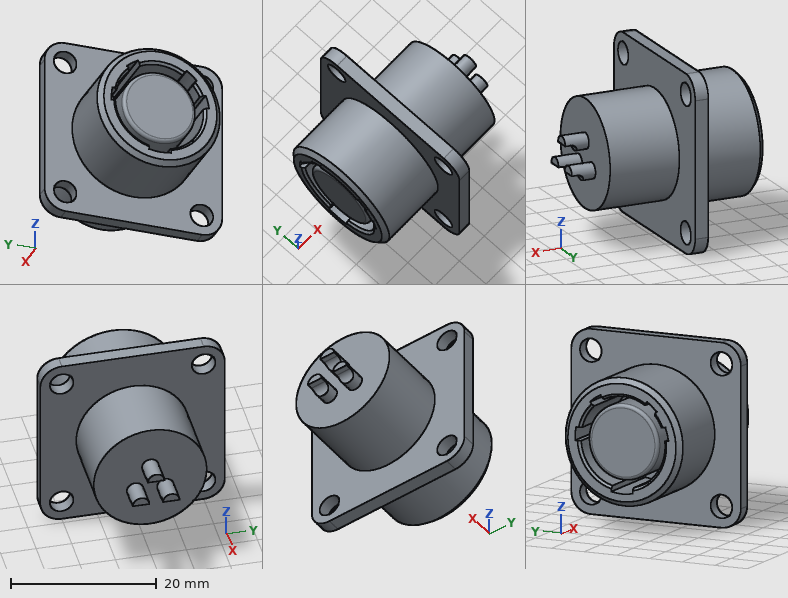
import cadquery as cq

total_length = 26.6
flange_front_x = 10.5
flange_thickness = 2.0
rear_end_x = 23.0

shell_radius = 9.0
shell_chamfer = 0.72
rear_radius = 7.95

flange_side = 26.0
flange_corner_radius = 3.0
mounting_hole_pitch = 20.0
mounting_hole_diameter = 3.3

socket_radius = 6.45
socket_entry_chamfer = 0.37
socket_depth = flange_front_x
core_radius = 5.35
core_edge_fillet = 0.5
core_recess = 0.35

keyway_outer_radius = 7.18
main_key_angle = 270
main_key_width = 3.25
minor_key_angles = (5, 55, 130, 165)
minor_key_width = 1.92

pin_radius = 1.17
pin_half_spacing = 2.13
pin_row_height = 1.84
pin_centres = (
    (0, pin_row_height),
    (-pin_half_spacing, -pin_row_height),
    (pin_half_spacing, -pin_row_height),
)
pin_full_length = 1.65
pin_scoop_start_x = rear_end_x + pin_full_length


def cylinder(radius, start_x, end_x, centre=(0, 0)):
    """Cylinder along X, centred on a (Y, Z) point."""
    plane = cq.Workplane("YZ", origin=(start_x, 0, 0))
    return plane.center(*centre).circle(radius).extrude(end_x - start_x)


def make_shell():
    front = cylinder(shell_radius, 0, flange_front_x).faces("<X").chamfer(shell_chamfer)
    rear = cylinder(rear_radius, flange_front_x, rear_end_x)
    return front.union(rear)


def make_flange():
    return (
        cq.Workplane("YZ", origin=(flange_front_x, 0, 0))
        .rect(flange_side, flange_side)
        .extrude(flange_thickness)
        .edges("|X")
        .fillet(flange_corner_radius)
    )


def make_mounting_holes():
    return (
        cq.Workplane("YZ", origin=(flange_front_x, 0, 0))
        .rect(mounting_hole_pitch, mounting_hole_pitch, forConstruction=True)
        .vertices()
        .circle(mounting_hole_diameter / 2)
        .extrude(flange_thickness)
    )


def make_keyway(angle, width):
    """Parallel-sided radial slot whose floor follows the keyway radius."""
    slot = (
        cq.Workplane("YZ")
        .center(keyway_outer_radius / 2, 0)
        .rect(keyway_outer_radius, width)
        .extrude(socket_depth)
    )
    slot = slot.rotate((0, 0, 0), (1, 0, 0), angle)
    return slot.intersect(cylinder(keyway_outer_radius, 0, socket_depth))


def make_socket():
    """Annular cavity: entry-chamfered bore and keyways, less the core."""
    socket = cylinder(socket_radius, 0, socket_depth)
    entry = (
        cq.Workplane("XY")
        .lineTo(0, socket_radius + socket_entry_chamfer)
        .lineTo(socket_entry_chamfer, socket_radius)
        .lineTo(socket_entry_chamfer, 0)
        .close()
        .revolve(360, (0, 0, 0), (1, 0, 0))
    )
    socket = socket.union(entry).union(make_keyway(main_key_angle, main_key_width))
    for angle in minor_key_angles:
        socket = socket.union(make_keyway(angle, minor_key_width))
    core = cylinder(core_radius, core_recess, socket_depth).faces("<X").edges().fillet(core_edge_fillet)
    return socket.cut(core)


def make_pin(centre):
    """Solder pin whose lower half is scooped away at the free end."""
    centre_y, centre_z = centre
    pin = cylinder(pin_radius, rear_end_x, total_length, centre)
    scoop = (
        cq.Workplane("XZ", origin=(0, centre_y, 0))
        .moveTo(pin_scoop_start_x, centre_z - pin_radius)
        .radiusArc((pin_scoop_start_x + pin_radius, centre_z), pin_radius)
        .lineTo(total_length, centre_z)
        .lineTo(total_length, centre_z - pin_radius)
        .close()
        .extrude(pin_radius, both=True)
    )
    return pin.cut(scoop)


result = make_shell().union(make_flange()).cut(make_mounting_holes()).cut(make_socket())
for pin_centre in pin_centres:
    result = result.union(make_pin(pin_centre))